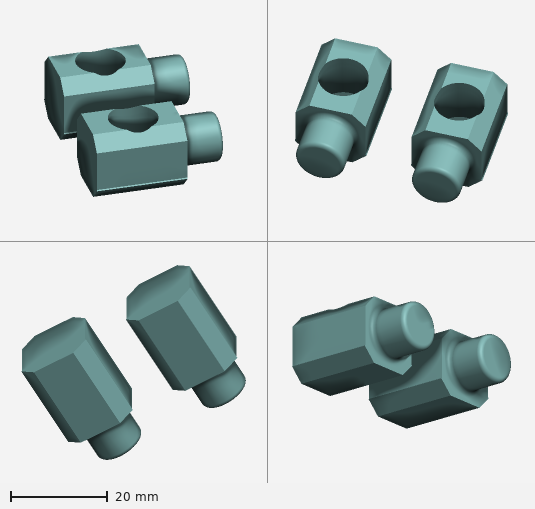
import cadquery as cq

block_count = 2
block_pitch = 24.98

block_length = 19.5
block_height = 14.75
side_width = 15.05
top_flat_width = 9.15
top_corner_drop = 2.9
tip_width = 15.45
bottom_flat_width = 9.38
tip_height = 2.95
lip_overhang = (tip_width - side_width) / 2
lip_top_height = tip_height + lip_overhang

stud_diameter = 10.5
stud_length = 8.53
stud_axis_height = 7.7
stud_fillet = 1.0

bore_diameter = 10.5
bore_depth = bore_diameter
bore_center_y = 9.95


def make_block_body():
    """Octagonal prism running along +Y from the front face at Y = 0."""
    right_half = [
        (bottom_flat_width / 2, 0),
        (tip_width / 2, tip_height),
        (side_width / 2, lip_top_height),
        (side_width / 2, block_height - top_corner_drop),
        (top_flat_width / 2, block_height),
    ]
    left_half = [(-x, z) for x, z in reversed(right_half)]
    return cq.Workplane("XZ").polyline(right_half + left_half).close().extrude(-block_length)


def add_stud(body):
    """Join the stud to the rear face, rounding its free end and its root."""
    stud = (
        cq.Workplane("XZ", origin=(0, block_length, stud_axis_height))
        .circle(stud_diameter / 2)
        .extrude(-stud_length)
        .faces(">Y")
        .edges()
        .fillet(stud_fillet)
    )
    root_edge = cq.selectors.BoxSelector(
        (-stud_diameter, block_length - stud_fillet, 0),
        (stud_diameter, block_length + stud_fillet, block_height),
        boundingbox=True,
    )
    return body.union(stud).edges(root_edge).edges("%CIRCLE").fillet(stud_fillet)


def cut_bore(body):
    """Cut the flat-bottomed bore down from the top face."""
    bore = (
        cq.Workplane("XY", origin=(0, bore_center_y, block_height))
        .circle(bore_diameter / 2)
        .extrude(-bore_depth)
    )
    return body.cut(bore)


def make_clamp_block():
    """One complete block with its stud and bore."""
    return cut_bore(add_stud(make_block_body()))


clamp_blocks = []
for index in range(block_count):
    center_x = (index - (block_count - 1) / 2) * block_pitch
    clamp_blocks.append(make_clamp_block().translate((center_x, 0, 0)).val())

result = cq.Compound.makeCompound(clamp_blocks)